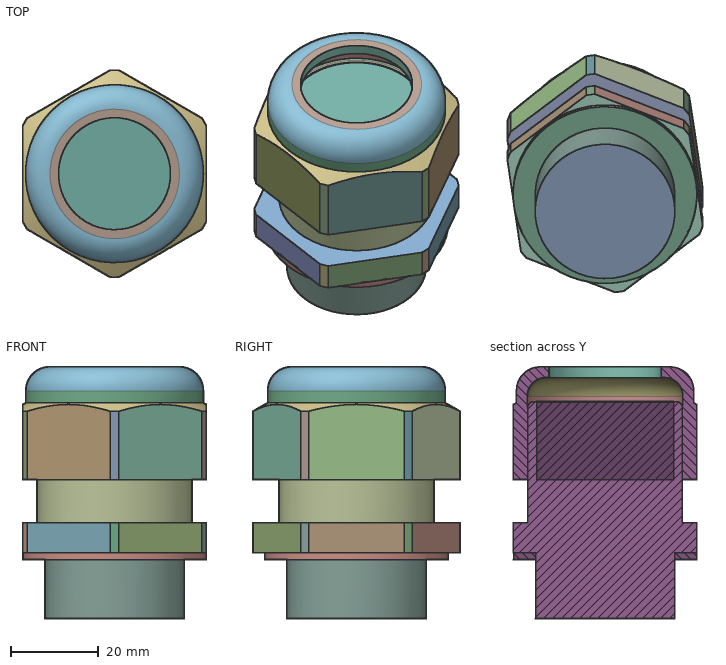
import cadquery as cq
import math

washer_bottom = 13.5
washer_top = 15.05
collar_top = 21.95
nut_bottom = 31.8
body_top = 49.65
lip_bottom = 55.05
nut_top = 57.6

across_flats = 42.0
corner_diameter = 47.35
across_corners = across_flats / math.cos(math.radians(30))

stud_radius = 15.95
neck_radius = 17.75
washer_radius = across_flats / 2
dome_radius = 20.35
opening_radius = 12.8
seal_radius = 15.6

dome_fillet = 5.55
cavity_fillet = 4.2
neck_fillet = 1.45
seal_recess = 0.2
hex_chamfer_angle = 30.0
hex_cone_base = 47.4


def cylinder(radius, bottom, top):
    return cq.Workplane("XY").workplane(offset=bottom).circle(radius).extrude(top - bottom)


def blunted_hexagon(bottom, top):
    """Hexagonal prism with flats facing +X and -X, its six corners turned round."""
    prism = cq.Workplane("XY").polygon(6, across_corners).extrude(top - bottom)
    prism = prism.rotate((0, 0, 0), (0, 0, 1), 30).translate((0, 0, bottom))
    return prism.intersect(cylinder(corner_diameter / 2, bottom, top))


def make_body():
    """Threaded stud, hexagonal collar and round neck with a seat for the seal."""
    stud = cylinder(stud_radius, 0, washer_top)
    collar = blunted_hexagon(washer_top, collar_top)
    neck = cylinder(neck_radius, collar_top, body_top).faces(">Z").edges().fillet(neck_fillet)
    seat = cylinder(seal_radius, nut_bottom, body_top)
    return stud.union(collar).union(neck).cut(seat)


def make_washer():
    """Flat ring around the stud, against the underside of the collar."""
    ring = cylinder(washer_radius, washer_bottom, washer_top)
    return ring.cut(cylinder(stud_radius, washer_bottom, washer_top))


def make_seal():
    """Plug in the neck, slightly below its rim."""
    return cylinder(seal_radius, nut_bottom, body_top - seal_recess)


def make_cap_nut():
    """Hexagonal nut with a conical shoulder and a rounded, open dome."""
    cone_rise = (corner_diameter / 2 - dome_radius) * math.tan(math.radians(hex_chamfer_angle))
    shoulder_top = hex_cone_base + cone_rise
    shoulder = (
        cq.Workplane("XZ")
        .moveTo(0, nut_bottom)
        .lineTo(corner_diameter / 2, nut_bottom)
        .lineTo(corner_diameter / 2, hex_cone_base)
        .lineTo(dome_radius, shoulder_top)
        .lineTo(0, shoulder_top)
        .close()
        .revolve(360, (0, 0, 0), (0, 1, 0))
    )
    hexagon = blunted_hexagon(nut_bottom, shoulder_top).intersect(shoulder)
    dome = cylinder(dome_radius, nut_bottom, nut_top).faces(">Z").edges().fillet(dome_fillet)
    cavity = cylinder(neck_radius, nut_bottom, lip_bottom).faces(">Z").edges().fillet(cavity_fillet)
    opening = cylinder(opening_radius, nut_bottom, nut_top)
    return hexagon.union(dome).cut(cavity).cut(opening)


body = make_body()
washer = make_washer()
seal = make_seal()
cap_nut = make_cap_nut()

result = cq.Compound.makeCompound([
    *body.solids().vals(),
    *washer.solids().vals(),
    *seal.solids().vals(),
    *cap_nut.solids().vals(),
])